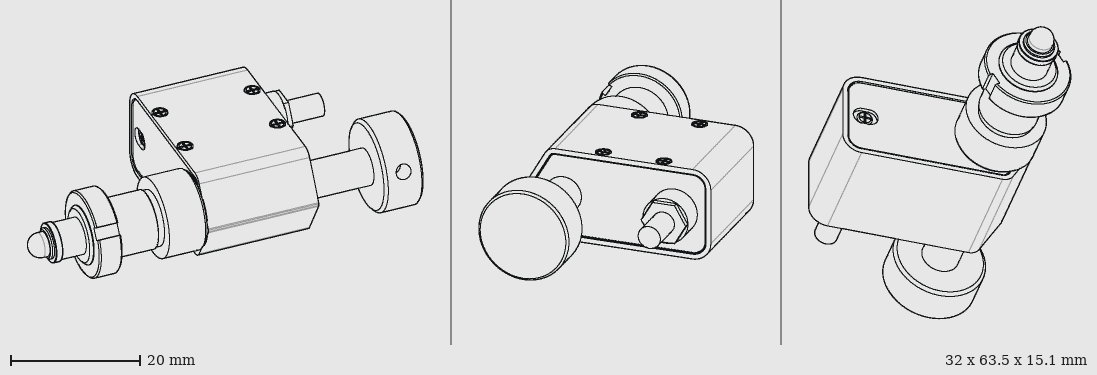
import cadquery as cq
import math


block_left = -24.5
block_height = 15.1
block_length = 18.6
corner_radius = 3.05
bend_start_x = 1.35
bend_end_x = 3.05
flank_angle = 60
bend_radius = (bend_end_x - bend_start_x) / math.sin(math.radians(flank_angle))
nose_half_height = 0.25
nose_radius = 0.4
sheet_thickness = 0.8
core_recess = 0.1
gap_width = 0.2
gap_depth = 0.4

screw_diameter = 2.5
screw_head_diameter = 2.0
screw_ring_depth = 0.2
cross_width = 0.25
cross_length = 1.7
cross_depth = 0.3
cover_screw_x = (-16.1, -6.1)
cover_screw_inset = 1.5
slot_x = -20.75
slot_length = 4.0
slot_width = 2.9
slot_depth = 0.65
slot_screw_height = 0.3

collar_start_diameter = 12.3
collar_bevel_end = 0.4
collar_diameter = 13.0
collar_end = 6.5
relief_diameter = 9.1
relief_end = 7.55
barrel_diameter = 9.5
ring_start = 14.55
ring_end = 18.4
ring_diameter = 14.0
ring_chamfer = 0.25
ring_slot_width = 2.0
ring_slot_floor_radius = 6.15
ring_slot_angle = 33
barrel_end = 19.0
barrel_chamfer = 0.45
shaft_diameter = 6.0
flange_start = 23.0
flange_end = 24.1
flange_diameter = 6.4
flange_chamfer = 0.095
shoulder_diameter = 5.0
shoulder_end = 24.7
shoulder_chamfer = 0.25
tip_diameter = 4.0
nose_length = 27.5

overall_length = 63.5
knob_diameter = 15.0
knob_length = 6.55
knob_rear_chamfer = 0.4
knob_front_chamfer = 0.5
knob_hole_diameter = 2.5
knob_hole_angle = 20

cable_x = -18.5
sleeve_diameter = 7.5
sleeve_length = 3.95
hex_across_flats = 6.4
hex_length = 0.9
cable_diameter = 3.7
cable_length = 6.1


def lengthwise_edges_at(x):
    """Selector for the edges along Y whose center lies at the given X."""
    reach = overall_length
    tolerance = 0.05
    box = cq.selectors.BoxSelector(
        (x - tolerance, -reach, -reach), (x + tolerance, reach, reach))
    return cq.selectors.AndSelector(cq.selectors.ParallelDirSelector(cq.Vector(0, 1, 0)), box)


def block_prism(inset, y_start, y_end):
    """Block cross-section, moved inward by inset, between two Y positions."""
    left = block_left + inset
    top = block_height / 2 - inset
    bend_x = bend_start_x + (bend_radius - inset) * math.tan(math.radians(flank_angle / 2))
    right = bend_x + (top - nose_half_height) / math.tan(math.radians(flank_angle))
    outline = [(left, top), (bend_x, top), (right, nose_half_height),
               (right, -nose_half_height), (bend_x, -top), (left, -top)]
    prism = (cq.Workplane("XZ", origin=(0, y_start, 0))
             .polyline(outline).close().extrude(y_start - y_end))
    prism = prism.edges("|Y").edges("<X").fillet(corner_radius - inset)
    prism = prism.edges(lengthwise_edges_at(bend_x)).fillet(bend_radius - inset)
    return prism.edges(lengthwise_edges_at(right)).fillet(nose_radius)


def cylinder(x, y_start, y_end, diameter):
    """Cylinder along Y."""
    return (cq.Workplane("XZ", origin=(x, y_start, 0))
            .circle(diameter / 2).extrude(y_start - y_end))


def turned(points):
    """Solid of revolution about the Y axis from (diameter, y) points."""
    profile = [(diameter / 2, y) for diameter, y in points]
    profile = [(0, profile[0][1])] + profile + [(0, profile[-1][1])]
    return cq.Workplane("XY").polyline(profile).close().revolve(360, (0, 0), (0, 1))


def cross_cut(plane):
    """Cross-shaped screwdriver recess below the given plane."""
    return (cq.Workplane(plane)
            .rect(cross_length, cross_width).extrude(-cross_depth)
            .union(cq.Workplane(plane).rect(cross_width, cross_length).extrude(-cross_depth)))


def core_end_cut(y_end, direction):
    """Recess of the core at one block end, with the deeper gap along the sheet."""
    recess_low, recess_high = sorted((y_end, y_end + direction * core_recess))
    gap_low, gap_high = sorted((y_end, y_end + direction * gap_depth))
    recess = block_prism(sheet_thickness, recess_low, recess_high)
    gap_outer = block_prism(sheet_thickness, gap_low, gap_high)
    gap_inner = block_prism(sheet_thickness + gap_width, gap_low, gap_high)
    return recess.union(gap_outer.cut(gap_inner))


def make_block():
    block = block_prism(0, 0, block_length)
    block = block.cut(core_end_cut(0, 1)).cut(core_end_cut(block_length, -1))

    for x in cover_screw_x:
        for y in (cover_screw_inset, block_length - cover_screw_inset):
            plane = cq.Plane(origin=(x, y, block_height / 2))
            ring = (cq.Workplane(plane).circle(screw_diameter / 2)
                    .circle(screw_head_diameter / 2).extrude(-screw_ring_depth))
            block = block.cut(ring).cut(cross_cut(plane))

    slot_floor = core_recess + slot_depth
    slot = (cq.Workplane("XZ", origin=(slot_x, 0, 0))
            .slot2D(slot_length, slot_width).extrude(-slot_floor))
    head_face = slot_floor - slot_screw_height
    head = cylinder(slot_x, head_face, slot_floor + core_recess, screw_diameter)
    head = head.faces("<Y").chamfer((screw_diameter - screw_head_diameter) / 2)
    head_plane = cq.Plane(origin=(slot_x, head_face, 0), xDir=(1, 0, 0), normal=(0, -1, 0))
    return block.cut(slot).union(head).cut(cross_cut(head_plane))


def make_nose():
    tip_center = nose_length - tip_diameter / 2
    nose = turned([
        (collar_start_diameter, core_recess),
        (collar_start_diameter, 0),
        (collar_diameter, -collar_bevel_end),
        (collar_diameter, -collar_end),
        (relief_diameter, -collar_end),
        (relief_diameter, -relief_end),
        (barrel_diameter, -relief_end),
        (barrel_diameter, -barrel_end + barrel_chamfer),
        (barrel_diameter - 2 * barrel_chamfer, -barrel_end),
        (shaft_diameter, -barrel_end),
        (shaft_diameter, -flange_start),
        (flange_diameter - 2 * flange_chamfer, -flange_start),
        (flange_diameter, -flange_start - flange_chamfer),
        (flange_diameter, -flange_end + flange_chamfer),
        (flange_diameter - 2 * flange_chamfer, -flange_end),
        (shoulder_diameter, -flange_end),
        (shoulder_diameter, -shoulder_end + shoulder_chamfer),
        (shoulder_diameter - 2 * shoulder_chamfer, -shoulder_end),
        (tip_diameter, -shoulder_end),
        (tip_diameter, -tip_center),
    ])
    tip = cq.Workplane("XY").sphere(tip_diameter / 2).translate((0, -tip_center, 0))
    return nose.union(tip)


def make_ring():
    """Slotted lock ring on the barrel, with two opposite spanner slots."""
    ring = cylinder(0, -ring_end, -ring_start, ring_diameter)
    ring = ring.edges().chamfer(ring_chamfer)
    ring = ring.cut(cylinder(0, -ring_end, -ring_start, barrel_diameter))
    slot = cq.Workplane("XY").box(
        ring_diameter, ring_end - ring_start, ring_slot_width, centered=(False, False, True)
    ).translate((ring_slot_floor_radius, -ring_end, 0))
    for angle in (ring_slot_angle, ring_slot_angle + 180):
        ring = ring.cut(slot.rotate((0, 0, 0), (0, 1, 0), -angle))
    return ring


def make_knob():
    """Rear shaft and knob, with a radial set-screw hole reaching the shaft."""
    rear = overall_length - nose_length
    front = rear - knob_length
    knob = cylinder(0, front, rear, knob_diameter)
    knob = knob.faces(">Y").chamfer(knob_rear_chamfer)
    knob = knob.faces("<Y").chamfer(knob_front_chamfer)
    hole = (cq.Workplane("YZ", origin=(shaft_diameter / 2, (front + rear) / 2, 0))
            .circle(knob_hole_diameter / 2).extrude(knob_diameter)
            .rotate((0, 0, 0), (0, 1, 0), -knob_hole_angle))
    shaft = cylinder(0, block_length - core_recess, front, shaft_diameter)
    return knob.cut(hole).union(shaft)


def make_cable_outlet():
    sleeve_end = block_length + sleeve_length
    hex_end = sleeve_end + hex_length
    sleeve = cylinder(cable_x, block_length - core_recess, sleeve_end, sleeve_diameter)
    across_corners = hex_across_flats / math.cos(math.radians(30))
    hexagon = (cq.Workplane("XZ", origin=(cable_x, sleeve_end, 0))
               .polygon(6, across_corners).extrude(-hex_length))
    cable = cylinder(cable_x, hex_end, hex_end + cable_length, cable_diameter)
    return sleeve.union(hexagon).union(cable)


result = (make_block()
          .union(make_nose())
          .union(make_ring())
          .union(make_knob())
          .union(make_cable_outlet()))